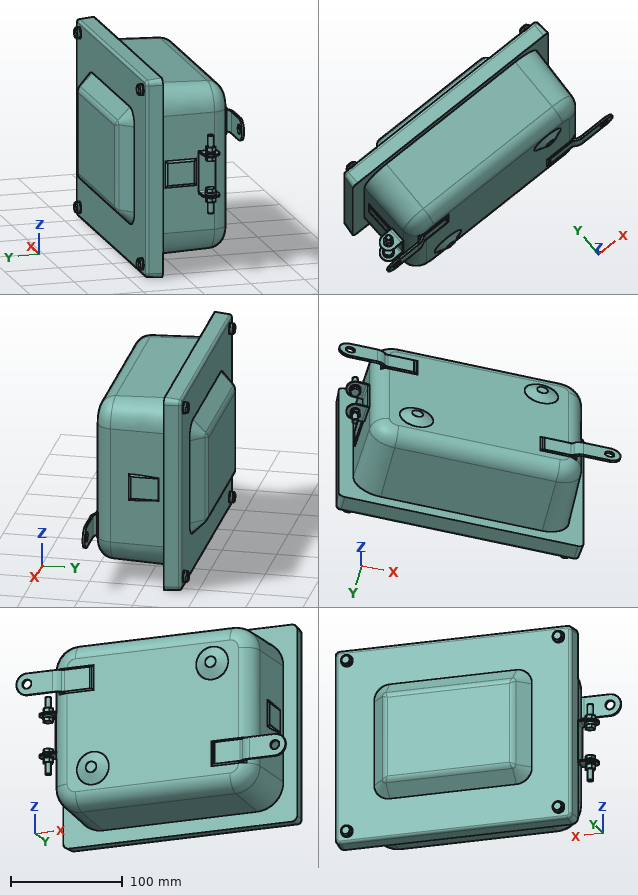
import cadquery as cq
import math


LID_LENGTH = 225.5
LID_HEIGHT = 185.0
LID_THICKNESS = 15.5
LID_DRAFT = 5
LID_CORNER_RADIUS = 5.5
LID_EDGE_RADIUS = 2.5

PANEL_LENGTH = 149.2
PANEL_HEIGHT = 108.5
PANEL_RISE = 13.7
PANEL_WALL_ANGLE = 45
PANEL_CORNER_RADIUS = 14.8
PANEL_EDGE_RADIUS = 7.8

BOX_LENGTH = 199.0
BOX_HEIGHT = 158.8
BOX_DEPTH = 66.5
BOX_DRAFT = 2.2
BOX_CORNER_RADIUS = 25.0
BOX_BACK_RADIUS = 15.0

SCREW_X = 100.0
SCREW_Z = 80.8
SCREW_WASHER_DIAMETER = 10.5
SCREW_WASHER_THICKNESS = 1.0
SCREW_HEAD_DIAMETER = 10.0
SCREW_HEAD_HEIGHT = 3.4
SCREW_HEAD_CHAMFER = 1.3

REAR_REACH = 70.7
FOOT_X = 57.5
FOOT_Z = 42.5
FOOT_BASE_DIAMETER = 30.8
FOOT_TIP_DIAMETER = 10.0

LUG_TIP_X = 129.5
LUG_Z = 42.5
LUG_WIDTH = 20.2
LUG_THICKNESS = 2.0
LUG_HOLE_DIAMETER = 8.5
LUG_PROUD = 1.0
LUG_BEND_START_X = 94.8
LUG_BEND_MIDDLE_X = 87.0
LUG_BEND_END_X = 84.5
LUG_INNER_X = 60.0

LUG_WELD_OUTER_X = 90.1
LUG_WELD_INNER_X = 56.5
LUG_WELD_SIZE = 1.68
LUG_WELD_PROUD = 0.8

LABEL_LENGTH = 29.3
LABEL_HEIGHT = 24.9
LABEL_DEPTH = 20.5
LABEL_PROUD = 1.0
SQUARE_LABEL_FACE_X = 99.5
LABEL_BEVEL = 2.0

BRACKET_DEPTH = 45.0
BRACKET_WIDTH = 15.8
BRACKET_HEIGHT = 40.0
BRACKET_THICKNESS = 1.5
BRACKET_BEND_RADIUS = 1.5
BRACKET_HOLE_REACH = 11.1
BRACKET_SINK = 0.3

BOLT_DIAMETER = 5.2
BOLT_END_Z = 36.3
BOLT_END_CHAMFER = 0.5
HEX_FLATS = 8.0
NUT_THICKNESS = 4.0
OUTER_WASHER_DIAMETER = 8.5
OUTER_WASHER_THICKNESS = 1.5
INNER_WASHER_DIAMETER = 10.0
INNER_WASHER_THICKNESS = 2.0
BOLT_HEAD_THICKNESS = 3.4

OVERLAP = 2.5


def drafted_block(length, height, corner_radius, depth, draft, direction):
    """Rounded block from Y = 0 narrowing along direction (+1 or -1) on Y."""
    return (
        cq.Workplane(cq.Plane((0, 0, 0), xDir=(1, 0, 0), normal=(0, direction, 0)))
        .sketch()
        .rect(length, height)
        .vertices()
        .fillet(corner_radius)
        .finalize()
        .extrude(depth, taper=draft)
    )


def make_box(growth=0):
    """Round-backed box, with every outer face moved outward by the growth."""
    box = drafted_block(
        BOX_LENGTH + 2 * growth,
        BOX_HEIGHT + 2 * growth,
        BOX_CORNER_RADIUS + growth,
        BOX_DEPTH + growth,
        BOX_DRAFT,
        -1,
    )
    return box.faces("<Y").edges().fillet(BOX_BACK_RADIUS + growth)


def make_lid():
    lid = drafted_block(LID_LENGTH, LID_HEIGHT, LID_CORNER_RADIUS, LID_THICKNESS, LID_DRAFT, 1)
    lid = lid.faces(">Y").edges().fillet(LID_EDGE_RADIUS)
    panel = drafted_block(
        PANEL_LENGTH, PANEL_HEIGHT, PANEL_CORNER_RADIUS, PANEL_RISE, PANEL_WALL_ANGLE, 1
    )
    panel = panel.faces(">Y").edges().fillet(PANEL_EDGE_RADIUS)
    return lid.union(panel.translate((0, LID_THICKNESS, 0)))


def make_screw():
    """Lid screw with its washer, standing on the lid's outer face."""
    face = cq.Workplane("XZ", origin=(0, LID_THICKNESS, 0))
    washer = face.circle(SCREW_WASHER_DIAMETER / 2).extrude(-SCREW_WASHER_THICKNESS)
    head = face.circle(SCREW_HEAD_DIAMETER / 2).extrude(-SCREW_WASHER_THICKNESS - SCREW_HEAD_HEIGHT)
    return washer.union(head.faces(">Y").chamfer(SCREW_HEAD_CHAMFER))


def make_foot():
    base_radius = FOOT_BASE_DIAMETER / 2
    return (
        cq.Workplane("XY")
        .moveTo(0, -BOX_DEPTH + OVERLAP)
        .lineTo(base_radius, -BOX_DEPTH + OVERLAP)
        .lineTo(base_radius, -BOX_DEPTH)
        .lineTo(FOOT_TIP_DIAMETER / 2, -REAR_REACH)
        .lineTo(0, -REAR_REACH)
        .close()
        .revolve(360, (0, 0), (0, 1))
    )


def bevelled_pad(plane, length, width, bevel, height):
    """Pad with sloping edges on the plane, with a straight part sunk below it."""
    sunk = cq.Workplane(plane).rect(length, width).extrude(-OVERLAP)
    raised = (
        cq.Workplane(plane)
        .rect(length, width)
        .workplane(offset=height)
        .rect(length - 2 * bevel, width - 2 * bevel)
        .loft()
    )
    return sunk.union(raised)


def make_lug():
    """Strap on the -X side: inner end on the back face, outer end stepped away from it."""
    pad_y = -BOX_DEPTH - LUG_PROUD
    half_angle = math.atan((REAR_REACH + pad_y) / (LUG_BEND_START_X - LUG_BEND_END_X))
    bend_angle = 2 * half_angle
    middle_y = -REAR_REACH + (LUG_BEND_START_X - LUG_BEND_MIDDLE_X) * math.tan(half_angle)
    inner_middle = (
        -LUG_BEND_MIDDLE_X - LUG_THICKNESS * math.sin(bend_angle),
        middle_y + LUG_THICKNESS * math.cos(bend_angle),
    )
    strap = (
        cq.Workplane("XY", origin=(0, 0, LUG_Z - LUG_WIDTH / 2))
        .moveTo(-LUG_TIP_X, -REAR_REACH)
        .lineTo(-LUG_BEND_START_X, -REAR_REACH)
        .tangentArcPoint((-LUG_BEND_MIDDLE_X, middle_y), relative=False)
        .tangentArcPoint((-LUG_BEND_END_X, pad_y), relative=False)
        .lineTo(-LUG_INNER_X, pad_y)
        .lineTo(-LUG_INNER_X, pad_y + LUG_THICKNESS)
        .lineTo(-LUG_BEND_END_X, pad_y + LUG_THICKNESS)
        .tangentArcPoint(inner_middle, relative=False)
        .tangentArcPoint((-LUG_BEND_START_X, -REAR_REACH + LUG_THICKNESS), relative=False)
        .lineTo(-LUG_TIP_X, -REAR_REACH + LUG_THICKNESS)
        .close()
        .extrude(LUG_WIDTH)
    )
    tip_radius = LUG_WIDTH / 2
    round_ended_plan = (
        cq.Workplane("XZ", origin=(-LUG_TIP_X + tip_radius, 0, LUG_Z))
        .moveTo(LUG_TIP_X, tip_radius)
        .lineTo(0, tip_radius)
        .threePointArc((-tip_radius, 0), (0, -tip_radius))
        .lineTo(LUG_TIP_X, -tip_radius)
        .close()
        .moveTo(0, 0)
        .circle(LUG_HOLE_DIAMETER / 2)
        .extrude(REAR_REACH)
    )
    return strap.intersect(round_ended_plan).union(make_lug_weld())


def make_lug_weld():
    """Weld bead around the strap's inner end, running down onto the rounded box edge."""
    plane = cq.Plane(
        (-(LUG_WELD_OUTER_X + LUG_WELD_INNER_X) / 2, -BOX_DEPTH, LUG_Z),
        xDir=(1, 0, 0),
        normal=(0, -1, 0),
    )
    length = LUG_WELD_OUTER_X - LUG_WELD_INNER_X
    width = LUG_WIDTH + 2 * LUG_WELD_SIZE
    bead = bevelled_pad(plane, length, width, LUG_WELD_SIZE, LUG_WELD_PROUD)
    return bead.intersect(make_box(LUG_WELD_PROUD))


def place_on_end_wall(piece, depth):
    """Move a piece built on the YZ plane, facing -X, onto the drafted -X wall."""
    wall_x = BOX_LENGTH / 2 - depth * math.tan(math.radians(BOX_DRAFT))
    return piece.rotate((0, 0, 0), (0, 0, 1), BOX_DRAFT).translate((-wall_x, -depth, 0))


def make_label():
    """Label plate on the YZ plane, facing -X."""
    plane = cq.Plane((0, 0, 0), xDir=(0, -1, 0), normal=(-1, 0, 0))
    return bevelled_pad(plane, LABEL_LENGTH, LABEL_HEIGHT, LABEL_BEVEL, LABEL_PROUD)


def make_square_label():
    """Label plate on the +X wall, parallel to the YZ plane so that it runs into the wall."""
    plate_x = SQUARE_LABEL_FACE_X - LABEL_PROUD
    return make_label().mirror("YZ").translate((plate_x, -LABEL_DEPTH, 0))


def make_bracket():
    """Channel with round-ended ears, its base lying on the YZ plane."""
    tip_radius = BRACKET_WIDTH / 2
    channel = (
        cq.Workplane("XY", origin=(0, 0, -BRACKET_HEIGHT / 2))
        .moveTo(BRACKET_SINK, -tip_radius)
        .lineTo(BRACKET_SINK, tip_radius)
        .lineTo(-BRACKET_HOLE_REACH, tip_radius)
        .threePointArc(
            (-BRACKET_HOLE_REACH - tip_radius, 0),
            (-BRACKET_HOLE_REACH, -tip_radius),
        )
        .close()
        .extrude(BRACKET_HEIGHT)
        .edges("|Y and >X")
        .fillet(BRACKET_BEND_RADIUS + BRACKET_THICKNESS)
    )
    ear_length = BRACKET_HOLE_REACH + tip_radius
    gap = (
        cq.Workplane("XY")
        .box(ear_length, BRACKET_WIDTH, BRACKET_HEIGHT - 2 * BRACKET_THICKNESS)
        .translate((-ear_length / 2 - BRACKET_THICKNESS, 0, 0))
        .edges("|Y and >X")
        .fillet(BRACKET_BEND_RADIUS)
    )
    return channel.cut(gap)


def make_bolt():
    """Bolt through the upper ear: head inside the channel, nut outside, shank upward."""
    ear_top = BRACKET_HEIGHT / 2
    ear_bottom = ear_top - BRACKET_THICKNESS
    head_top = ear_bottom - INNER_WASHER_THICKNESS
    head_bottom = head_top - BOLT_HEAD_THICKNESS
    nut_bottom = ear_top + OUTER_WASHER_THICKNESS
    hex_diameter = HEX_FLATS / math.cos(math.radians(30))

    def level(z):
        return cq.Workplane("XY", origin=(-BRACKET_HOLE_REACH, 0, z))

    shank = level(head_bottom).circle(BOLT_DIAMETER / 2).extrude(BOLT_END_Z - head_bottom)
    shank = shank.faces(">Z").chamfer(BOLT_END_CHAMFER)
    head = level(head_bottom).polygon(6, hex_diameter).extrude(BOLT_HEAD_THICKNESS)
    inner_washer = level(head_top).circle(INNER_WASHER_DIAMETER / 2).extrude(INNER_WASHER_THICKNESS)
    outer_washer = level(ear_top).circle(OUTER_WASHER_DIAMETER / 2).extrude(OUTER_WASHER_THICKNESS)
    nut = level(nut_bottom).polygon(6, hex_diameter).extrude(NUT_THICKNESS)
    return shank.union(head).union(inner_washer).union(outer_washer).union(nut)


def make_earthing_point():
    bolt = make_bolt()
    return make_bracket().union(bolt).union(bolt.mirror("XY"))


result = make_box().union(make_lid())

for side_x in (-1, 1):
    for side_z in (-1, 1):
        result = result.union(make_screw().translate((side_x * SCREW_X, 0, side_z * SCREW_Z)))

foot = make_foot().translate((FOOT_X, 0, FOOT_Z))
for piece in (foot, make_lug()):
    result = result.union(piece).union(piece.rotate((0, 0, 0), (0, 1, 0), 180))

result = result.union(place_on_end_wall(make_label(), LABEL_DEPTH))
result = result.union(make_square_label())
result = result.union(place_on_end_wall(make_earthing_point(), BRACKET_DEPTH))